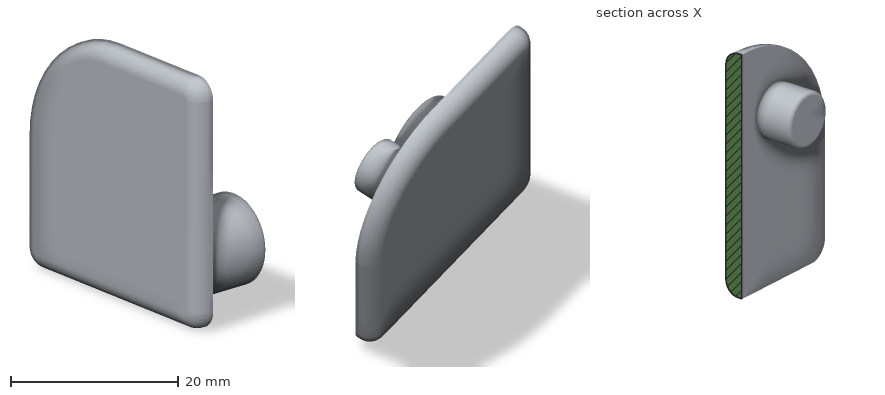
import cadquery as cq

side = 32.0
plate_thickness = 2.5
corner_radius = 2.5
large_corner_radius = 15.0
face_fillet = 2.0

total_depth = 12.5
large_peg_diameter = 11.5
large_peg_length = total_depth - plate_thickness
large_peg_inset = 7.5
small_peg_diameter = 7.23
small_peg_length = large_peg_length / 2
small_peg_inset = 9.5
peg_fillet = 0.5


def make_plate():
    """Square plate with one large corner and a rounded rim around its outer face."""
    plate = cq.Workplane("XY").box(side, plate_thickness, side, centered=(True, False, True))
    large_corner = plate.edges("|Y").edges("<X").edges(">Z")
    plate = large_corner.fillet(large_corner_radius)
    small_corners = plate.edges("|Y").edges(">X or <Z")
    plate = small_corners.fillet(corner_radius)
    return plate.faces("<Y").edges().fillet(face_fillet)


def make_peg(x, z, diameter, length):
    """Peg rising toward +Y from the back of the plate, with a rounded free end."""
    back_plane = cq.Plane(origin=(x, plate_thickness, z), xDir=(1, 0, 0), normal=(0, 1, 0))
    peg = cq.Workplane(back_plane).circle(diameter / 2).extrude(length)
    return peg.faces(">Y").edges().fillet(peg_fillet)


large_peg_offset = side / 2 - large_peg_inset
small_peg_offset = side / 2 - small_peg_inset

large_peg = make_peg(large_peg_offset, -large_peg_offset, large_peg_diameter, large_peg_length)
small_peg = make_peg(-small_peg_offset, small_peg_offset, small_peg_diameter, small_peg_length)

result = make_plate().union(large_peg).union(small_peg)